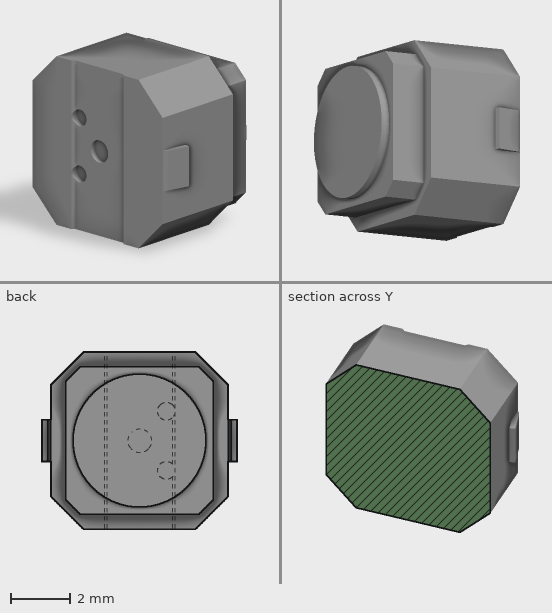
import cadquery as cq
import math

body_width = 6.0
body_depth = 3.5
body_chamfer = 1.11
collar_width = 5.0
collar_depth = 1.2
collar_chamfer = 0.5
button_diameter = 4.5
button_height = 0.3

channel_width = 2.4
channel_depth = 0.1

hole_depth = 0.2
center_hole_diameter = 0.8
side_hole_diameter = 0.6
side_hole_x = -0.9
side_hole_z = 1.0

terminal_span = 6.6
terminal_width = 1.42
terminal_thickness = 0.2
terminal_tip_y = 0.99
terminal_lean = math.radians(13)
bend_radius = terminal_thickness


def octagonal_block(width, depth, chamfer, start_y):
    """Square block with its four Y-direction edges chamfered."""
    block = cq.Workplane("XY").box(width, depth, width, centered=(True, False, True))
    return block.edges("|Y").chamfer(chamfer).translate((0, start_y, 0))


def cylinder_along_y(diameter, length, start_y, x=0, z=0):
    """Cylinder whose axis points along +Y."""
    start = cq.Vector(x, start_y, z)
    return cq.Workplane(cq.Solid.makeCylinder(diameter / 2, length, start, cq.Vector(0, 1, 0)))


def make_channel():
    """Trapezoidal prism, widest at the front face."""
    half_mouth = channel_width / 2
    half_floor = half_mouth - channel_depth
    profile = [
        (-half_mouth, 0),
        (half_mouth, 0),
        (half_floor, channel_depth),
        (-half_floor, channel_depth),
    ]
    return cq.Workplane("XY").polyline(profile).close().extrude(body_width / 2, both=True)


def make_left_terminal():
    """Strip that bends round the front edge and leans away from the body."""
    sin_lean = math.sin(terminal_lean)
    cos_lean = math.cos(terminal_lean)
    tip_outer = (-terminal_span / 2, terminal_tip_y)
    tip_inner = (tip_outer[0] + terminal_thickness * cos_lean, tip_outer[1] + terminal_thickness * sin_lean)

    bend_end_y = bend_radius * (1 - sin_lean)
    bend_end_x = tip_outer[0] + (terminal_tip_y - bend_end_y) * math.tan(terminal_lean)
    bend_center_x = bend_end_x + bend_radius * cos_lean
    middle_angle = (math.pi / 2 + terminal_lean) / 2
    bend_middle = (
        bend_center_x - bend_radius * math.cos(middle_angle),
        bend_radius * (1 - math.sin(middle_angle)),
    )
    return (
        cq.Workplane("XY")
        .moveTo(*tip_inner)
        .lineTo(*tip_outer)
        .lineTo(bend_end_x, bend_end_y)
        .threePointArc(bend_middle, (bend_center_x, 0))
        .lineTo(bend_center_x, bend_radius)
        .close()
        .extrude(terminal_width / 2, both=True)
    )


collar_start = body_depth
button_start = collar_start + collar_depth

housing = octagonal_block(body_width, body_depth, body_chamfer, 0)
housing = housing.union(octagonal_block(collar_width, collar_depth, collar_chamfer, collar_start))
housing = housing.union(cylinder_along_y(button_diameter, button_height, button_start))

left_terminal = make_left_terminal()
housing = housing.union(left_terminal).union(left_terminal.mirror("YZ"))

housing = housing.cut(make_channel())
hole_bottom = channel_depth + hole_depth
housing = housing.cut(cylinder_along_y(center_hole_diameter, hole_bottom, 0))
for z in (-side_hole_z, side_hole_z):
    housing = housing.cut(cylinder_along_y(side_hole_diameter, hole_bottom, 0, side_hole_x, z))

result = housing